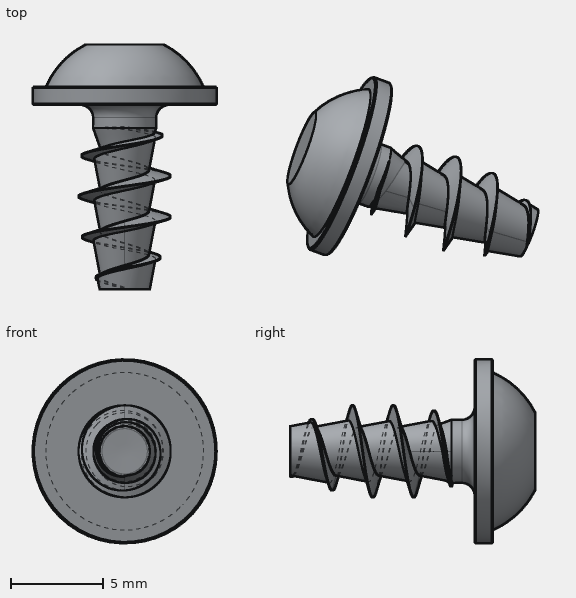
import cadquery as cq
import math


flange_radius = 5.0
flange_thickness = 1.0
flange_edge_chamfer = 0.08
head_height = 3.3
dome_base_radius = 4.28
dome_top_radius = 2.1
dome_mid_height = (flange_thickness + head_height) / 2
dome_mid_radius = 3.56

shank_length = 10.0
neck_radius = 1.72
neck_fillet = 0.68
neck_end = -1.24
neck_taper_end = -2.4
core_radius = 1.31
tip_radius = 1.37
tip_overrun = 0.2
built_length = shank_length + tip_overrun
tip_dimple_radius = 1.23
tip_dimple_depth = 0.05

pitch = 2.22
turn_zero_y = -1.075
first_turn = -0.25
helix_turn = 0.25
grown_turn = 1.0
fading_turn = 2.5
tip_turn = 3.0
last_turn = 4.0
stretch_ends = [first_turn, 0, helix_turn, grown_turn, fading_turn, tip_turn, last_turn]
points_per_turn = 24
crest_start_radius = 1.92
crest_full_radius = 2.5
crest_end_radius = 1.38
crest_lead_in_radius = 1.60
crest_width = 0.04
flank_slope = math.tan(math.radians(14))
buried_radius = 1.26
land_slope = 0.19
land_end_radius = tip_radius - land_slope * tip_overrun
turn_gap = 0.015


def blend(value, start, end, start_result, end_result):
    """Straight-line interpolation."""
    return start_result + (end_result - start_result) * (value - start) / (end - start)


def crest_y(turn):
    """Axial place of the crest: a flat lead-in that eases into a regular helix."""
    if turn < 0:
        return neck_end
    if turn < helix_turn:
        return blend(turn, 0, helix_turn, neck_end, turn_zero_y - pitch * helix_turn)
    return turn_zero_y - pitch * turn


def crest_radius(turn):
    """Crest radius: growing, level, then fading to the tip."""
    if turn < 0:
        return blend(turn, first_turn, 0, crest_lead_in_radius, crest_start_radius)
    if turn < grown_turn:
        return blend(turn, 0, grown_turn, crest_start_radius, crest_full_radius)
    if turn < fading_turn:
        return crest_full_radius
    return blend(turn, fading_turn, last_turn, crest_full_radius, crest_end_radius)


def half_width(turn, radius):
    """Half the axial width of the ridge at a radius."""
    return crest_width / 2 + (crest_radius(turn) - radius) * flank_slope


def land_end_y(turn):
    """The land runs to the upper flank of the next turn, or just past the tip."""
    next_turn = turn + 1
    next_flank_y = crest_y(next_turn) + half_width(next_turn, buried_radius)
    return max(next_flank_y + turn_gap, -built_length)


def land_top_radius(turn):
    """Radius at which the lower flank meets the tapered land."""
    flank_y_at_axis = crest_y(turn) - half_width(turn, 0)
    rise = land_slope * (flank_y_at_axis - land_end_y(turn))
    return (land_end_radius + rise) / (1 - land_slope * flank_slope)


def thread_section(turn):
    """Corner points of the ridge and its land, in the half-plane at this turn."""
    y = crest_y(turn)
    crest = crest_radius(turn)
    land_top = land_top_radius(turn)
    end_y = land_end_y(turn)
    corners = [
        (buried_radius, y + half_width(turn, buried_radius)),
        (crest, y + crest_width / 2),
        (crest, y - crest_width / 2),
        (land_top, y - half_width(turn, land_top)),
        (land_end_radius, end_y),
        (buried_radius, end_y),
    ]
    angle = 2 * math.pi * turn - math.pi / 2
    return [cq.Vector(r * math.cos(angle), corner_y, r * math.sin(angle)) for r, corner_y in corners]


def thread_cap(turn):
    """Flat face that closes the ridge at one of its ends."""
    return cq.Face.makeFromWires(cq.Wire.makePolygon(thread_section(turn), close=True))


def thread_stretch(start, end):
    """The ruled faces between neighbouring corner curves over one stretch."""
    steps = math.ceil((end - start) * points_per_turn)
    turns = [blend(i, 0, steps, start, end) for i in range(steps + 1)]
    sections = [thread_section(turn) for turn in turns]
    curves = [cq.Edge.makeSpline(list(points)) for points in zip(*sections)]
    return [cq.Face.makeRuledSurface(curves[i - 1], curve) for i, curve in enumerate(curves)]


def make_thread():
    """Close all stretches and both caps into one solid."""
    faces = [thread_cap(first_turn), thread_cap(last_turn)]
    for start, end in zip(stretch_ends, stretch_ends[1:]):
        faces += thread_stretch(start, end)
    return cq.Workplane(obj=cq.Solid.makeSolid(cq.Shell.makeShell(faces)))


def make_body():
    """Head, neck and core as one turned shape."""
    fillet_middle = neck_fillet * (1 - math.sqrt(0.5))
    flange_side_end = flange_thickness - flange_edge_chamfer
    flange_face_radius = flange_radius - flange_edge_chamfer
    profile = (
        cq.Workplane("XY")
        .moveTo(0, -built_length)
        .lineTo(core_radius, -built_length)
        .lineTo(core_radius, neck_taper_end)
        .lineTo(neck_radius, neck_end)
        .lineTo(neck_radius, -neck_fillet)
        .threePointArc((neck_radius + fillet_middle, -fillet_middle), (neck_radius + neck_fillet, 0))
        .lineTo(flange_face_radius, 0)
        .lineTo(flange_radius, flange_edge_chamfer)
        .lineTo(flange_radius, flange_side_end)
        .lineTo(flange_face_radius, flange_thickness)
        .lineTo(dome_base_radius, flange_thickness)
        .threePointArc((dome_mid_radius, dome_mid_height), (dome_top_radius, head_height))
        .lineTo(0, head_height)
        .close()
    )
    return profile.revolve(360, (0, 0, 0), (0, 1, 0))


def make_tip_cutter():
    """Everything beyond the tip face, with a shallow cone that leaves the dimple."""
    cutter_bottom = -built_length - tip_overrun
    profile = (
        cq.Workplane("XY")
        .moveTo(0, -shank_length + tip_dimple_depth)
        .lineTo(tip_dimple_radius, -shank_length)
        .lineTo(crest_full_radius, -shank_length)
        .lineTo(crest_full_radius, cutter_bottom)
        .lineTo(0, cutter_bottom)
        .close()
    )
    return profile.revolve(360, (0, 0, 0), (0, 1, 0))


result = make_body().union(make_thread()).cut(make_tip_cutter())